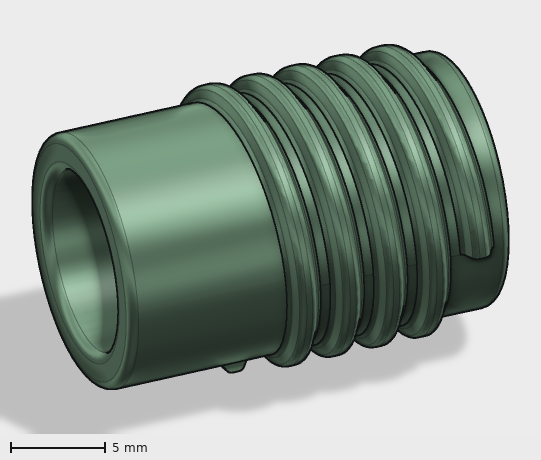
import cadquery as cq
import math

LENGTH = 22.0
BODY_RADIUS = 7.0
BORE_RADIUS = 5.0
EDGE_ROUND = 0.5

CREST_DIAMETER = 15.6
CREST_RADIUS = CREST_DIAMETER / 2
THREAD_ADVANCE = 12.0
TURNS = 4.8
PITCH = THREAD_ADVANCE / TURNS
FLANK_ANGLE = math.radians(30)
CREST_WIDTH = 0.8
CREST_ROUND = 0.4
ROOT_ROUND = 0.4
ROOT_SINK = 0.02
RIDGE_SINK = 0.22
ROOT_RADIUS = BODY_RADIUS - ROOT_SINK
BURIED_RADIUS = BODY_RADIUS - RIDGE_SINK
REAR_END_Y = 20.0


def make_sleeve():
    """Plain tube along +Z with all four rim edges rounded."""
    tube = cq.Workplane("XY").circle(BODY_RADIUS).circle(BORE_RADIUS).extrude(LENGTH)
    return tube.faces("<Z or >Z").edges().fillet(EDGE_ROUND)


def flank_half_width(radius):
    """Half the ridge width on the straight flank at a given radius."""
    return CREST_WIDTH / 2 + (CREST_RADIUS - radius) * math.tan(FLANK_ANGLE)


def half_section_points():
    """(radius, axial offset) of one half of the ridge section, from its root to its crest."""
    turn = math.pi / 2 - FLANK_ANGLE
    middle = turn / 2
    rise = 1 - math.cos(turn)

    root_top = ROOT_RADIUS + ROOT_ROUND * rise
    root_centre = flank_half_width(root_top) + ROOT_ROUND * math.sin(turn)
    root_start = (ROOT_RADIUS, root_centre)
    root_middle = (
        ROOT_RADIUS + ROOT_ROUND * (1 - math.cos(middle)),
        root_centre - ROOT_ROUND * math.sin(middle),
    )
    root_end = (root_top, flank_half_width(root_top))

    crest_low = CREST_RADIUS - CREST_ROUND * rise
    crest_centre = flank_half_width(crest_low) - CREST_ROUND * math.sin(turn)
    crest_start = (crest_low, flank_half_width(crest_low))
    crest_middle = (
        CREST_RADIUS - CREST_ROUND * (1 - math.cos(middle)),
        crest_centre + CREST_ROUND * math.sin(middle),
    )
    crest_end = (CREST_RADIUS, crest_centre)
    return root_start, root_middle, root_end, crest_start, crest_middle, crest_end


def mirrored(point):
    return point[0], -point[1]


def make_thread():
    """Ridge with rounded root and crest, swept along a helix around Z."""
    root_start, root_middle, root_end, crest_start, crest_middle, crest_end = half_section_points()
    buried_corner = (BURIED_RADIUS, root_start[1])
    profile = (
        cq.Workplane("XZ")
        .moveTo(*buried_corner)
        .lineTo(*root_start)
        .threePointArc(root_middle, root_end)
        .lineTo(*crest_start)
        .threePointArc(crest_middle, crest_end)
        .lineTo(*mirrored(crest_end))
        .threePointArc(mirrored(crest_middle), mirrored(crest_start))
        .lineTo(*mirrored(root_end))
        .threePointArc(mirrored(root_middle), mirrored(root_start))
        .lineTo(*mirrored(buried_corner))
        .close()
    )
    helix = cq.Workplane(cq.Wire.makeHelix(PITCH, THREAD_ADVANCE, BODY_RADIUS))
    ridge = profile.sweep(helix, isFrenet=True)
    ridge = ridge.rotate((0, 0, 0), (0, 0, 1), -360 * TURNS)
    return ridge.translate((0, 0, REAR_END_Y - THREAD_ADVANCE))


result = make_sleeve().union(make_thread()).rotate((0, 0, 0), (1, 0, 0), -90)